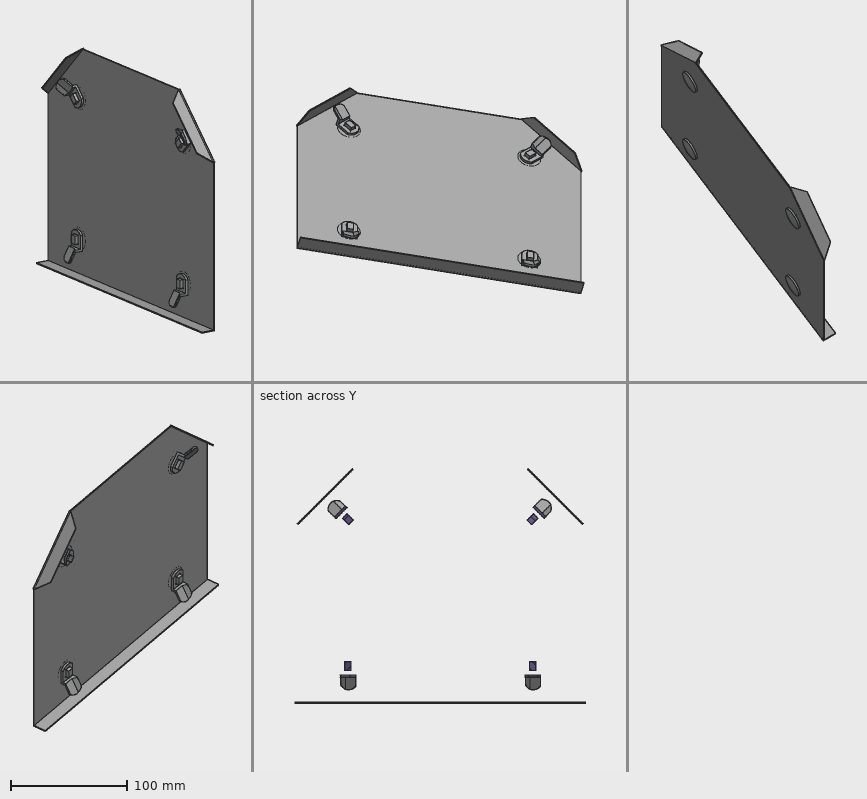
import cadquery as cq
import math

overall_width = 251.3
overall_height = 204.5
sheet = 1.0
corner_cut = 52.8
corner_angle = 45.0
flange_depth = 12.8
flange_taper = flange_depth - sheet

flange_overhang = sheet * math.sin(math.radians(corner_angle))
panel_width = overall_width - 2 * flange_overhang
panel_height = overall_height - flange_overhang

fastener_x = 79.5
lower_z = 32.0
upper_z = 158.3
upper_turn = 135.0

head_radius = 10.0
head_height = 3.8
head_rim = 1.8
shank_width = 5.5
shank_length = 7.8
shank_front = 6.3

latch_width = 13.8
latch_sheet = 2.3
latch_radius = 8.3
latch_reach = 9.5
window_gap = 0.3
shelf_thickness = 2.0
shelf_depth = 2.8
wing_width = 4.8
wing_bend = 30.0
grip_thickness = 1.8
grip_length = 13.8
grip_lean = 30.0
grip_side = 10.3

latch_front = sheet + latch_sheet
half_latch = latch_width / 2
shelf_front = latch_front + shelf_depth
shelf_top = shelf_thickness - latch_reach
crease_x = half_latch - wing_width
wing_x = crease_x + wing_width * math.cos(math.radians(wing_bend))
wing_rise = wing_width * math.sin(math.radians(wing_bend))

fastener_places = [
    (-fastener_x, lower_z, 0),
    (fastener_x, lower_z, 0),
    (-fastener_x, upper_z, upper_turn),
    (fastener_x, upper_z, -upper_turn),
]


def place(body, x, z, turn):
    """Turn a body about its own Y axis, then move it to its position on the panel."""
    return body.rotate((0, 0, 0), (0, 1, 0), turn).translate((x, 0, z))


def make_panel():
    """Sheet with two cut corners, three flanges and a hole for each shank."""
    half_width = panel_width / 2
    shoulder = panel_height - corner_cut
    face = (
        cq.Workplane("XZ")
        .polyline([
            (-half_width, 0),
            (half_width, 0),
            (half_width, shoulder),
            (half_width - corner_cut, panel_height),
            (corner_cut - half_width, panel_height),
            (-half_width, shoulder),
        ])
        .close()
        .extrude(sheet)
    )
    bottom_flange = (
        cq.Workplane("XY", origin=(0, -flange_depth / 2, 0))
        .rect(panel_width, flange_depth)
        .extrude(sheet)
    )
    panel = face.union(bottom_flange)
    for side in (-1, 1):
        panel = panel.union(make_corner_flange(side))
    for x, z, turn in fastener_places:
        panel = panel.cut(place(make_shank(), x, z, turn))
    return panel


def make_corner_flange(side):
    """Tapered flange standing on the outside of one 45 degree edge."""
    edge_half = corner_cut / 2 / math.cos(math.radians(corner_angle))
    flange = (
        cq.Workplane("XY")
        .polyline([
            (-edge_half, 0),
            (edge_half, 0),
            (edge_half, -sheet),
            (edge_half - flange_taper, -flange_depth),
            (flange_taper - edge_half, -flange_depth),
            (-edge_half, -sheet),
        ])
        .close()
        .extrude(sheet)
    )
    edge_x = side * (panel_width - corner_cut) / 2
    edge_z = panel_height - corner_cut / 2
    return place(flange, edge_x, edge_z, side * corner_angle)


def make_shank(clearance=0.0):
    """Rectangular bar from the panel back to the shank front, enlarged all round by the clearance."""
    return (
        cq.Workplane("XZ")
        .rect(shank_width + 2 * clearance, shank_length + 2 * clearance)
        .extrude(shank_front)
    )


def make_stud():
    """Low domed head behind the panel with the shank on its front."""
    dome_rise = head_height - head_rim
    dome_radius = (head_radius ** 2 + dome_rise ** 2) / (2 * dome_rise)
    mid_radius = head_radius / 2
    mid_drop = dome_radius - math.sqrt(dome_radius ** 2 - mid_radius ** 2)
    head = (
        cq.Workplane("XY")
        .lineTo(head_radius, 0)
        .lineTo(head_radius, head_rim)
        .threePointArc((mid_radius, head_height - mid_drop), (0, head_height))
        .close()
        .revolve(360, (0, 0), (0, 1))
    )
    return head.union(make_shank())


def make_latch():
    """Slotted plate with a rounded end, continued by the shelf and the grip."""
    plate = (
        cq.Workplane("XZ", origin=(0, -sheet, 0))
        .circle(latch_radius)
        .extrude(latch_sheet)
    )
    tail = (
        cq.Workplane("XZ", origin=(0, -sheet, -latch_reach / 2))
        .rect(latch_width, latch_reach)
        .extrude(latch_sheet)
    )
    outline = (
        cq.Workplane("XZ", origin=(0, -sheet, 0))
        .rect(latch_width, 2 * latch_reach)
        .extrude(latch_sheet)
    )
    window = make_shank(window_gap)
    plate = plate.union(tail).intersect(outline).cut(window)
    return plate.union(make_shelf()).union(make_grip())


def make_shelf():
    """Flat step standing out from the plate, its front edge following the bent grip."""
    wing_front = shelf_front + wing_rise / math.cos(math.radians(grip_lean))
    return (
        cq.Workplane("XY", origin=(0, 0, -latch_reach))
        .polyline([
            (-half_latch, -sheet),
            (half_latch, -sheet),
            (half_latch, -latch_front),
            (wing_x, -wing_front),
            (crease_x, -shelf_front),
            (-half_latch, -shelf_front),
        ])
        .close()
        .extrude(shelf_thickness)
    )


def make_grip():
    """Bent strip leaning forwards below the shelf top, with a rounded end square to its length."""
    overlap = 2 * wing_rise
    strip = (
        cq.Workplane("XY", origin=(0, 0, overlap))
        .polyline([
            (-half_latch, 0),
            (crease_x, 0),
            (wing_x, -wing_rise),
            (wing_x, grip_thickness - wing_rise),
            (crease_x, grip_thickness),
            (-half_latch, grip_thickness),
        ])
        .close()
        .extrude(-grip_length - overlap)
    )
    outline = (
        cq.Workplane("XZ", origin=(0, grip_thickness, 0))
        .moveTo(-half_latch, overlap)
        .lineTo(wing_x, overlap)
        .lineTo(wing_x, -grip_side)
        .threePointArc(((wing_x - half_latch) / 2, -grip_length), (-half_latch, -grip_side))
        .close()
        .extrude(grip_thickness + wing_rise)
    )
    grip = (
        strip.intersect(outline)
        .rotate((0, 0, 0), (1, 0, 0), -grip_lean)
        .translate((0, -shelf_front, shelf_top))
    )
    above_shelf = (
        cq.Workplane("XY", origin=(0, -shelf_front, shelf_top))
        .rect(2 * latch_width, 2 * latch_width)
        .extrude(grip_length)
    )
    return grip.cut(above_shelf)


panel = make_panel()
studs = [place(make_stud(), *spot).val() for spot in fastener_places]
latches = [place(make_latch(), *spot).val() for spot in fastener_places]
result = cq.Compound.makeCompound([panel.val(), *studs, *latches])